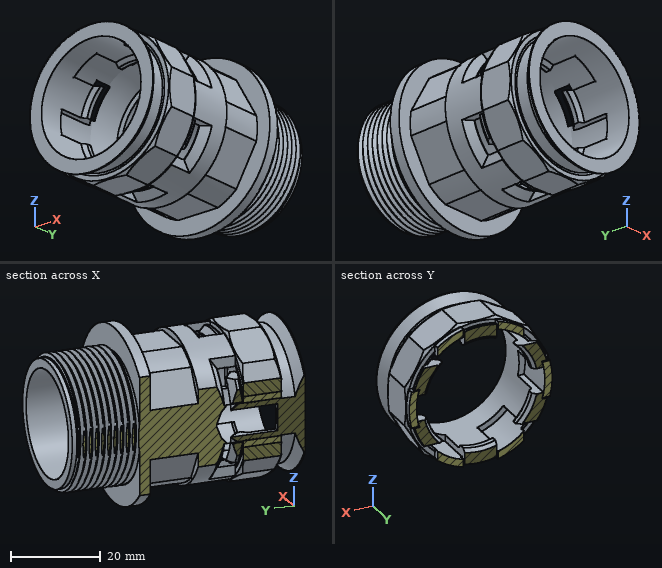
import cadquery as cq
import math

LENGTH = 56.25

FLANGE_RADIUS = 21.0
FLANGE_TOP = 40.25
FLANGE_BOTTOM = 37.55
THREAD_CREST_RADIUS = 16.0
THREAD_ROOT_RADIUS = 14.9
THREAD_PITCH = 1.495
THREAD_TOP = LENGTH - 1.1
THREAD_START = 39.35
THREAD_BASE_SINK = 0.05
THREAD_BASE_FILL = 0.98
HEX_ACROSS_FLATS = 32.65
HEX_ROUND_RADIUS = 17.35
BODY_RADIUS = 18.0
BODY_TOP = 26.0
THROAT_RADIUS = 12.65
THROAT_BOTTOM = 26.0
SEAT_TOP_RADIUS = 14.1
SEAT_BOTTOM = 19.1
WINDOW_TOP_OUTSIDE = 21.45
WINDOW_TOP_INSIDE = 19.6
WINDOW_HALF_WIDTH = 4.35
SIDE_WINDOW_MIN_X = 10.85
SIDE_WINDOW_MIN_Z = 4.6

NUT_TOP = 15.1
NUT_BOTTOM = 5.75
NUT_SIDES = 12
NUT_ACROSS_FLATS = 2 * BODY_RADIUS
NUT_BORE_RADIUS = 16.6
NUT_END_RADIUS = 17.85
NUT_CHAMFER = 0.8

INSERT_BORE_RADIUS = 14.5
INSERT_RADIUS = 16.05
SLOT_BOTTOM = 6.75
RIM_RADIUS = BODY_RADIUS
RIM_THICKNESS = 0.3
FLARE_TOP = 2.5
FINGER_HALF_WIDTH = 4.05
SIDE_FINGER_MIN_Z = 3.15
SIDE_FINGER_MAX_Z = 9.95
SIDE_BARB_MIN_Z = SIDE_WINDOW_MIN_Z + 0.1
CLAW_TOP = 18.0
CLAW_TOP_RADIUS = 15.75
CLAW_INNER_RADIUS = 13.55
CLAW_INNER_TOP = 15.75
CLAW_INNER_BOTTOM = 14.45
CLAW_RAMP_BOTTOM = 13.5
BARB_RADIUS = 17.35
BARB_TOP = 16.55
BARB_BOTTOM = 15.8

PADDING = 0.55
REACH = 2 * FLANGE_RADIUS


def revolved(points):
    """Solid of revolution about Y of a closed outline of (radius, y) points."""
    return cq.Workplane("XY").polyline(points).close().revolve(360, (0, 0, 0), (0, 1, 0))


def cylinder(radius, bottom, top):
    return revolved([(0, bottom), (radius, bottom), (radius, top), (0, top)])


def box(x_min, x_max, y_min, y_max, z_min, z_max):
    size = (x_max - x_min, y_max - y_min, z_max - z_min)
    return cq.Workplane("XY").box(*size, centered=False).translate((x_min, y_min, z_min))


def prism(sides, across_flats, bottom, top):
    """Regular prism along Y with one flat facing +Z; sides is a multiple of two."""
    corner_diameter = across_flats / math.cos(math.pi / sides)
    blank = cq.Workplane("XZ", origin=(0, top, 0)).polygon(sides, corner_diameter).extrude(top - bottom)
    flat_turn = 90 - 180 / sides
    return blank.rotate((0, 0, 0), (0, 1, 0), flat_turn)


def four_side_copies(piece):
    """The piece of the +X +Z quarter with its mirror images in the other quarters."""
    pair = piece.union(piece.mirror("YZ"))
    return pair.union(pair.mirror("XY"))


def two_end_copies(piece):
    return piece.union(piece.mirror("XY"))


def finger_footprint(bottom, top, side_min_z):
    """Six prisms along Y that give the fingers their straight sides."""
    ends = two_end_copies(box(-FINGER_HALF_WIDTH, FINGER_HALF_WIDTH, bottom, top, SIDE_FINGER_MAX_Z, REACH))
    sides = four_side_copies(box(FINGER_HALF_WIDTH, REACH, bottom, top, side_min_z, SIDE_FINGER_MAX_Z))
    return ends.union(sides)


def thread_ridge():
    """Left-handed helical ridge, trimmed to the threaded length."""
    turns = math.ceil((THREAD_TOP - THREAD_START) / THREAD_PITCH)
    height = turns * THREAD_PITCH
    path = cq.Wire.makeHelix(THREAD_PITCH, height, THREAD_ROOT_RADIUS, lefthand=True)
    half_base = THREAD_PITCH * THREAD_BASE_FILL / 2
    base_radius = THREAD_ROOT_RADIUS - THREAD_BASE_SINK
    section = cq.Workplane("XZ").polyline(
        [(base_radius, -half_base), (THREAD_CREST_RADIUS, 0), (base_radius, half_base)]
    ).close()
    ridge = section.sweep(cq.Workplane(path), isFrenet=True)
    ridge = ridge.rotate((0, 0, 0), (1, 0, 0), -90).translate((0, THREAD_START, 0))
    return ridge.intersect(cylinder(FLANGE_RADIUS, FLANGE_TOP - PADDING, THREAD_TOP))


def threaded_end():
    return cylinder(THREAD_ROOT_RADIUS, FLANGE_BOTTOM, LENGTH).union(thread_ridge())


def body_blank():
    flange = cylinder(FLANGE_RADIUS, FLANGE_BOTTOM, FLANGE_TOP)
    hexagon = prism(6, HEX_ACROSS_FLATS, BODY_TOP, FLANGE_BOTTOM)
    hexagon = hexagon.intersect(cylinder(HEX_ROUND_RADIUS, BODY_TOP, FLANGE_BOTTOM))
    sleeve = cylinder(BODY_RADIUS, NUT_TOP, BODY_TOP)
    spigot = cylinder(NUT_BORE_RADIUS, NUT_BOTTOM, NUT_TOP)
    return flange.union(hexagon).union(sleeve).union(spigot)


def body_bore():
    """Straight throat, conical seat and straight socket for the insert."""
    return revolved(
        [
            (0, NUT_BOTTOM),
            (INSERT_RADIUS, NUT_BOTTOM),
            (INSERT_RADIUS, SEAT_BOTTOM),
            (SEAT_TOP_RADIUS, THROAT_BOTTOM),
            (THROAT_RADIUS, THROAT_BOTTOM),
            (THROAT_RADIUS, LENGTH),
            (0, LENGTH),
        ]
    )


def windows():
    """Six windows whose top faces slope down towards the bore."""
    ends = two_end_copies(
        box(-WINDOW_HALF_WIDTH, WINDOW_HALF_WIDTH, NUT_TOP, BODY_TOP, SIDE_FINGER_MAX_Z, REACH)
    )
    sides = four_side_copies(
        box(SIDE_WINDOW_MIN_X, REACH, NUT_TOP, BODY_TOP, SIDE_WINDOW_MIN_Z, REACH)
    )
    sloped_ring = revolved(
        [
            (0, NUT_TOP),
            (BODY_RADIUS, NUT_TOP),
            (BODY_RADIUS, WINDOW_TOP_OUTSIDE),
            (INSERT_RADIUS, WINDOW_TOP_INSIDE),
            (0, WINDOW_TOP_INSIDE),
        ]
    )
    return ends.union(sides).intersect(sloped_ring)


def gland_body():
    body = body_blank().union(threaded_end())
    return body.cut(body_bore()).cut(windows())


def twelve_sided_nut():
    """Twelve-sided ring with its corners turned off conically at both ends."""
    blank = prism(NUT_SIDES, NUT_ACROSS_FLATS, NUT_BOTTOM, NUT_TOP)
    corner_radius = NUT_ACROSS_FLATS / 2 / math.cos(math.pi / NUT_SIDES)
    turned = revolved(
        [
            (NUT_BORE_RADIUS, NUT_BOTTOM),
            (NUT_END_RADIUS, NUT_BOTTOM),
            (corner_radius, NUT_BOTTOM + NUT_CHAMFER),
            (corner_radius, NUT_TOP - NUT_CHAMFER),
            (NUT_END_RADIUS, NUT_TOP),
            (NUT_BORE_RADIUS, NUT_TOP),
        ]
    )
    return blank.intersect(turned)


def flared_ring():
    return revolved(
        [
            (INSERT_BORE_RADIUS, 0),
            (RIM_RADIUS, 0),
            (RIM_RADIUS, RIM_THICKNESS),
            (INSERT_RADIUS, FLARE_TOP),
            (INSERT_RADIUS, SLOT_BOTTOM),
            (INSERT_BORE_RADIUS, SLOT_BOTTOM),
        ]
    )


def fingers():
    """Finger stems inside the nut with the inward side of their claws."""
    ring = revolved(
        [
            (INSERT_BORE_RADIUS, SLOT_BOTTOM),
            (INSERT_RADIUS, SLOT_BOTTOM),
            (INSERT_RADIUS, BARB_TOP),
            (CLAW_TOP_RADIUS, CLAW_TOP),
            (CLAW_INNER_RADIUS, CLAW_INNER_TOP),
            (CLAW_INNER_RADIUS, CLAW_INNER_BOTTOM),
            (INSERT_BORE_RADIUS, CLAW_RAMP_BOTTOM),
        ]
    )
    return ring.intersect(finger_footprint(SLOT_BOTTOM, CLAW_TOP, SIDE_FINGER_MIN_Z))


def barbs():
    """Outward side of the claws, narrow enough to stand in the windows."""
    ring = revolved(
        [
            (CLAW_INNER_RADIUS + PADDING, CLAW_INNER_TOP),
            (INSERT_RADIUS, NUT_TOP),
            (BARB_RADIUS, BARB_BOTTOM),
            (BARB_RADIUS, BARB_TOP),
            (CLAW_TOP_RADIUS, CLAW_TOP),
        ]
    )
    return ring.intersect(finger_footprint(NUT_TOP, CLAW_TOP, SIDE_BARB_MIN_Z))


def claw_insert():
    return flared_ring().union(fingers()).union(barbs())


housing = gland_body()
nut = twelve_sided_nut()
insert = claw_insert()

result = cq.Compound.makeCompound([housing.val(), nut.val(), insert.val()])